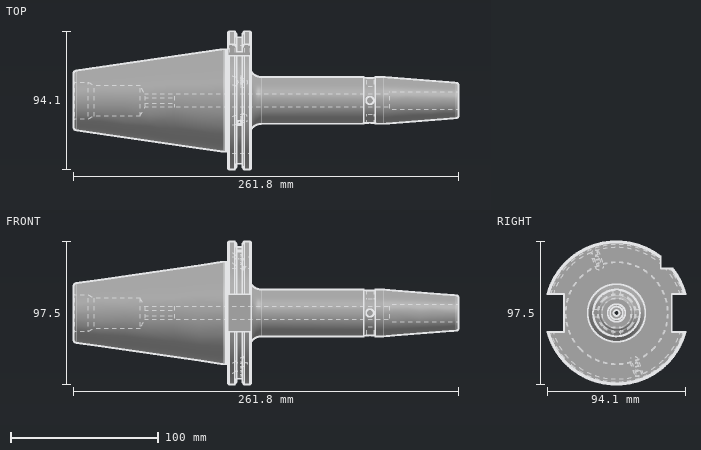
import cadquery as cq
import math


UP = (0, 0, 1)

TAPER_LENGTH = 101.75
GAUGE_RADIUS = 69.85 / 2
TAPER_SLOPE = 7 / 48
SMALL_END_RADIUS = GAUGE_RADIUS - TAPER_LENGTH * TAPER_SLOPE
SMALL_END_ROUND = 2.5

RELIEF_START = 1.6
RELIEF_END = 2.4
RELIEF_DEPTH = 0.5

FLANGE_START = 3.2
FLANGE_END = 19.1
FLANGE_RADIUS = 97.5 / 2
FLANGE_CHAMFER = 0.9
GROOVE_CENTER = 11.1
GROOVE_FLOOR_WIDTH = 3.75
GROOVE_FLOOR_RADIUS = 44.9
GROOVE_MOUTH_WIDTH = 6.4
GROOVE_MOUTH_DEPTH = 2.0

SLOT_WIDTH = 25.7
SLOT_FLOOR_FRONT = 35.7
SLOT_FLOOR_BACK = 37.6
NOTCH_Y = 30.2
NOTCH_Z = 30.3

SHANK_END = 160.0
SHANK_RADIUS = 16.0
SHANK_FILLET_END = 26.0
SHANK_FILLET_HEIGHT = 3.6
BAND_START = 95.5
BAND_END = 103.4
BAND_RADIUS = 15.5
NOSE_START = 108.9
NOSE_ANGLE = 4.5
NOSE_END_RADIUS = SHANK_RADIUS - (SHANK_END - NOSE_START) * math.tan(math.radians(NOSE_ANGLE))
NOSE_ROUND = 2.0

BALANCE_HOLE_X = 99.7
BALANCE_HOLE_DIAMETER = 5.2
BALANCE_HOLE_DEPTH = 6.0
BALANCE_HOLE_COUNT = 4

PILOT_RADIUS = 12.5
PILOT_DEPTH = 10.0
PILOT_CHAMFER = 0.75
PILOT_CONE_HALF_ANGLE = 30.0
DRAWBAR_BORE_RADIUS = 10.25
DRAWBAR_BORE_DEPTH = 45.0
BORE_CONE_HALF_ANGLE = 59.0
STOP_BORE_RADIUS = 4.4
TOOL_BORE_RADIUS = 6.0
TOOL_BORE_DEPTH = 47.0

CONE_START = -TAPER_LENGTH + DRAWBAR_BORE_DEPTH
CONE_END = CONE_START + (DRAWBAR_BORE_RADIUS - STOP_BORE_RADIUS) / math.tan(
    math.radians(BORE_CONE_HALF_ANGLE)
)

STOP_SCREW_HOLE_RADIUS = 1.9
STOP_SCREW_LENGTH = 20.0

COOLANT_COUNT = 2
COOLANT_TURN = 20.0
COOLANT_ENTRY_RADIUS = 42.0
COOLANT_SLOPE = 35.0
COOLANT_DIAMETER = 5.8
COOLANT_LENGTH = 14.0
PLUG_DIAMETER = 3.4
PLUG_RECESS = 3.0
PLUG_LENGTH = 6.0
PLUG_BOTTOM = (GROOVE_CENTER, 0, GROOVE_FLOOR_RADIUS - PLUG_RECESS - PLUG_LENGTH)


def turned_body():
    fillet_run = SHANK_FILLET_END - FLANGE_END
    fillet_radius = (fillet_run**2 + SHANK_FILLET_HEIGHT**2) / (2 * SHANK_FILLET_HEIGHT)
    fillet_half_sweep = math.asin(fillet_run / fillet_radius) / 2
    fillet_middle = (
        SHANK_FILLET_END - fillet_radius * math.sin(fillet_half_sweep),
        SHANK_RADIUS + fillet_radius * (1 - math.cos(fillet_half_sweep)),
    )
    groove_floor = GROOVE_FLOOR_WIDTH / 2
    groove_mouth = GROOVE_MOUTH_WIDTH / 2
    return (
        cq.Workplane("XY")
        .moveTo(-TAPER_LENGTH, 0)
        .lineTo(-TAPER_LENGTH, SMALL_END_RADIUS)
        .lineTo(0, GAUGE_RADIUS)
        .lineTo(RELIEF_START, GAUGE_RADIUS)
        .lineTo(RELIEF_START, GAUGE_RADIUS - RELIEF_DEPTH)
        .lineTo(RELIEF_END, GAUGE_RADIUS - RELIEF_DEPTH)
        .lineTo(RELIEF_END, GAUGE_RADIUS)
        .lineTo(FLANGE_START, GAUGE_RADIUS)
        .lineTo(FLANGE_START, FLANGE_RADIUS - FLANGE_CHAMFER)
        .lineTo(FLANGE_START + FLANGE_CHAMFER, FLANGE_RADIUS)
        .lineTo(GROOVE_CENTER - groove_mouth, FLANGE_RADIUS)
        .lineTo(GROOVE_CENTER - groove_floor, FLANGE_RADIUS - GROOVE_MOUTH_DEPTH)
        .lineTo(GROOVE_CENTER - groove_floor, GROOVE_FLOOR_RADIUS)
        .lineTo(GROOVE_CENTER + groove_floor, GROOVE_FLOOR_RADIUS)
        .lineTo(GROOVE_CENTER + groove_floor, FLANGE_RADIUS - GROOVE_MOUTH_DEPTH)
        .lineTo(GROOVE_CENTER + groove_mouth, FLANGE_RADIUS)
        .lineTo(FLANGE_END - FLANGE_CHAMFER, FLANGE_RADIUS)
        .lineTo(FLANGE_END, FLANGE_RADIUS - FLANGE_CHAMFER)
        .lineTo(FLANGE_END, SHANK_RADIUS + SHANK_FILLET_HEIGHT)
        .threePointArc(fillet_middle, (SHANK_FILLET_END, SHANK_RADIUS))
        .lineTo(BAND_START, SHANK_RADIUS)
        .lineTo(BAND_START, BAND_RADIUS)
        .lineTo(BAND_END, BAND_RADIUS)
        .lineTo(BAND_END, SHANK_RADIUS)
        .lineTo(NOSE_START, SHANK_RADIUS)
        .lineTo(SHANK_END, NOSE_END_RADIUS)
        .lineTo(SHANK_END, 0)
        .close()
        .revolve(360, (0, 0, 0), (1, 0, 0))
        .faces("<X")
        .edges()
        .fillet(SMALL_END_ROUND)
        .faces(">X")
        .edges()
        .fillet(NOSE_ROUND)
    )


def axial_bores():
    pilot_end = -TAPER_LENGTH + PILOT_DEPTH
    pilot_cone = (PILOT_RADIUS - DRAWBAR_BORE_RADIUS) / math.tan(math.radians(PILOT_CONE_HALF_ANGLE))
    tool_bore_start = SHANK_END - TOOL_BORE_DEPTH
    return (
        cq.Workplane("XY")
        .moveTo(-TAPER_LENGTH, 0)
        .lineTo(-TAPER_LENGTH, PILOT_RADIUS + PILOT_CHAMFER)
        .lineTo(-TAPER_LENGTH + PILOT_CHAMFER, PILOT_RADIUS)
        .lineTo(pilot_end, PILOT_RADIUS)
        .lineTo(pilot_end + pilot_cone, DRAWBAR_BORE_RADIUS)
        .lineTo(CONE_START, DRAWBAR_BORE_RADIUS)
        .lineTo(CONE_END, STOP_BORE_RADIUS)
        .lineTo(tool_bore_start, STOP_BORE_RADIUS)
        .lineTo(tool_bore_start, TOOL_BORE_RADIUS)
        .lineTo(SHANK_END, TOOL_BORE_RADIUS)
        .lineTo(SHANK_END, 0)
        .close()
        .revolve(360, (0, 0, 0), (1, 0, 0))
    )


def flange_block(y_start, y_end, z_start, z_end):
    """Box over the flange thickness, used to cut the drive slots and the notch."""
    return cq.Workplane("XY").box(
        FLANGE_END - FLANGE_START, y_end - y_start, z_end - z_start, centered=False
    ).translate((FLANGE_START, y_start, z_start))


def rod(start, direction, diameter, length):
    return cq.Workplane(
        cq.Solid.makeCylinder(diameter / 2, length, cq.Vector(*start), cq.Vector(*direction))
    )


def coolant_turned(body, copy):
    """Turn a coolant feature modelled in the XZ plane at +Z to its place in the flange."""
    return body.rotate((0, 0, 0), (1, 0, 0), COOLANT_TURN + copy * 360 / COOLANT_COUNT)


def coolant_hole(copy):
    slope = math.radians(COOLANT_SLOPE)
    direction = (math.cos(slope), 0, -math.sin(slope))
    lead = COOLANT_DIAMETER
    start = (
        FLANGE_START - lead * direction[0],
        0,
        COOLANT_ENTRY_RADIUS - lead * direction[2],
    )
    return coolant_turned(rod(start, direction, COOLANT_DIAMETER, COOLANT_LENGTH + lead), copy)


def plug_hole(copy):
    depth = FLANGE_RADIUS - PLUG_BOTTOM[2]
    return coolant_turned(rod(PLUG_BOTTOM, UP, PLUG_DIAMETER, depth), copy)


def coolant_plug(copy):
    return coolant_turned(rod(PLUG_BOTTOM, UP, PLUG_DIAMETER, PLUG_LENGTH), copy)


def balance_hole(copy):
    start = (BALANCE_HOLE_X, 0, BAND_RADIUS - BALANCE_HOLE_DEPTH)
    hole = rod(start, UP, BALANCE_HOLE_DIAMETER, SHANK_RADIUS - start[2])
    return hole.rotate((0, 0, 0), (1, 0, 0), copy * 360 / BALANCE_HOLE_COUNT)


def make_holder():
    half_slot = SLOT_WIDTH / 2
    holder = turned_body().cut(axial_bores())
    holder = holder.cut(flange_block(-FLANGE_RADIUS, -SLOT_FLOOR_FRONT, -half_slot, half_slot))
    holder = holder.cut(flange_block(SLOT_FLOOR_BACK, FLANGE_RADIUS, -half_slot, half_slot))
    holder = holder.cut(flange_block(NOTCH_Y, FLANGE_RADIUS, NOTCH_Z, FLANGE_RADIUS))
    for copy in range(COOLANT_COUNT):
        holder = holder.cut(coolant_hole(copy)).cut(plug_hole(copy))
    for copy in range(BALANCE_HOLE_COUNT):
        holder = holder.cut(balance_hole(copy))
    return holder


def make_stop_screw():
    return (
        cq.Workplane("YZ", origin=(CONE_END, 0, 0))
        .circle(STOP_BORE_RADIUS)
        .circle(STOP_SCREW_HOLE_RADIUS)
        .extrude(STOP_SCREW_LENGTH)
    )


holder = make_holder()
stop_screw = make_stop_screw()
plugs = [coolant_plug(copy) for copy in range(COOLANT_COUNT)]

result = cq.Compound.makeCompound([holder.val(), stop_screw.val(), *[plug.val() for plug in plugs]])